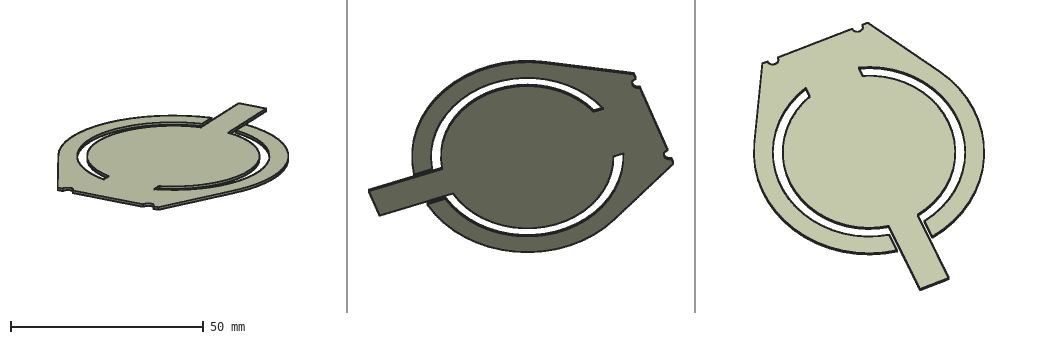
import cadquery as cq
import math

thickness = 0.75
total_length = 77.5
outer_radius = 30.0
slot_outer_radius = 25.0
disc_radius = 22.5
base_edge_y = -35.0
base_width = 30.0
tab_width = 8.2
ring_gap_width = 10.0
neck_width = 15.0
notch_radius = 1.5
notch_spacing = 24.0

tab_end_y = base_edge_y + total_length


def plate_disc(radius):
    return cq.Workplane("XY").circle(radius).extrude(thickness)


def plate_strip(width, y_start, y_end):
    """Rectangular strip centred on the Y axis."""
    return (
        cq.Workplane("XY")
        .center(0, (y_start + y_end) / 2)
        .rect(width, y_end - y_start)
        .extrude(thickness)
    )


def rounded_body():
    """Round plate whose straight sides run tangentially down to the base."""
    corner_x = base_width / 2
    corner_distance = math.hypot(corner_x, base_edge_y)
    corner_angle = math.atan2(base_edge_y, corner_x)
    tangent_angle = corner_angle + math.acos(outer_radius / corner_distance)
    tangent_x = outer_radius * math.cos(tangent_angle)
    tangent_y = outer_radius * math.sin(tangent_angle)
    return (
        cq.Workplane("XY")
        .moveTo(-corner_x, base_edge_y)
        .lineTo(corner_x, base_edge_y)
        .lineTo(tangent_x, tangent_y)
        .threePointArc((0, outer_radius), (-tangent_x, tangent_y))
        .close()
        .extrude(thickness)
    )


def curved_slots():
    """Space between the ring and the disc, interrupted by the lower neck."""
    annulus = plate_disc(slot_outer_radius).cut(plate_disc(disc_radius))
    return annulus.cut(plate_strip(neck_width, base_edge_y, 0))


def ring_opening():
    """Break through the top of the ring, stopping at the disc."""
    return plate_strip(ring_gap_width, 0, tab_end_y).cut(plate_disc(disc_radius))


def base_notches():
    """Half-round notches in the lower edge."""
    half_spacing = notch_spacing / 2
    return (
        cq.Workplane("XY")
        .pushPoints([(-half_spacing, base_edge_y), (half_spacing, base_edge_y)])
        .circle(notch_radius)
        .extrude(thickness)
    )


result = (
    rounded_body()
    .cut(curved_slots())
    .cut(ring_opening())
    .union(plate_strip(tab_width, 0, tab_end_y))
    .cut(base_notches())
)